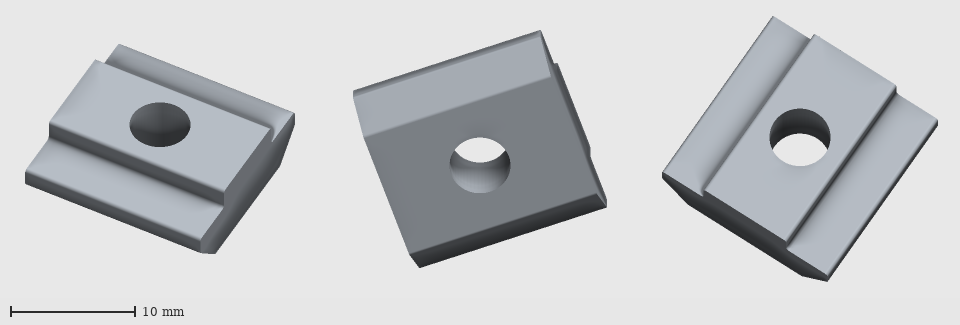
import cadquery as cq

length = 16.0
width = 16.0
height = 6.0

neck_width = 8.0
shoulder_height = 4.1
base_width = 11.0
flank_height = 2.5

edge_radius = 0.3
hole_diameter = 4.91


def half_profile():
    """Corner points of the +Y half of the section, from bottom to top."""
    return [
        (base_width / 2, 0),
        (width / 2, flank_height),
        (width / 2, shoulder_height),
        (neck_width / 2, shoulder_height),
        (neck_width / 2, height),
    ]


def nut_body():
    """Stepped section extruded along X, with every lengthwise edge rounded."""
    right_side = half_profile()
    left_side = [(-y, z) for y, z in reversed(right_side)]
    body = (
        cq.Workplane("YZ")
        .polyline(right_side + left_side)
        .close()
        .extrude(length / 2, both=True)
    )
    return body.edges("|X").fillet(edge_radius)


def center_hole():
    """Plain vertical hole through the full height."""
    return cq.Workplane("XY").circle(hole_diameter / 2).extrude(height)


result = nut_body().cut(center_hole())